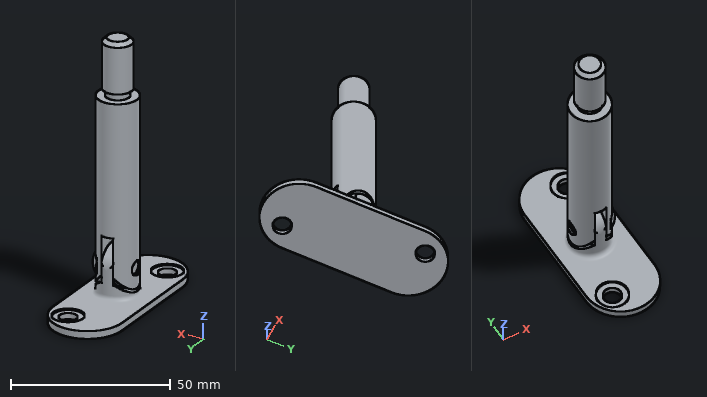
import cadquery as cq
import math

plate_width = 25.0
plate_length = 63.0
plate_thickness = 2.7
screw_hole_diameter = 6.0
screw_recess_diameter = 10.5
screw_recess_depth = 0.55
screw_offset_x = 5.0
screw_offset_y = 22.5

rod_radius = 7.0
root_fillet = 1.9
hinge_height = 13.0
socket_radius = 8.0
tongue_thickness = 4.2
slot_top = 24.6

total_height = 91.0
rod_top = 71.0
neck_top = 73.4
neck_radius = 4.0
stud_radius = 5.0
stud_chamfer = 1.5

pin_diameter = 5.0
pin_radius = pin_diameter / 2
pin_tail_x = -6.0
head_radius = 5.55
head_seat_x = 3.6
head_face_x = 7.5
dome_radius = 6.1
dome_center_x = 2.1


def hinge_cylinder(radius, start_x, end_x):
    """Cylinder on the hinge axis, which runs along X."""
    plane = cq.Plane(origin=(start_x, 0, hinge_height), xDir=(0, 0, -1), normal=(1, 0, 0))
    return cq.Workplane(plane).circle(radius).extrude(end_x - start_x)


def upright_cylinder(radius, bottom, top):
    return cq.Workplane("XY").workplane(offset=bottom).circle(radius).extrude(top - bottom)


def upright_slab(thickness, bottom, top):
    """Slab centred across X and wider along Y than the rod."""
    slab = cq.Workplane("XY").workplane(offset=bottom)
    return slab.rect(thickness, 4 * rod_radius).extrude(top - bottom)


def make_base():
    plate = cq.Workplane("XY").slot2D(plate_length, plate_width, 90).extrude(plate_thickness)
    plate = (
        plate.faces(">Z").workplane(origin=(0, 0, 0))
        .pushPoints([(screw_offset_x, screw_offset_y), (-screw_offset_x, -screw_offset_y)])
        .cboreHole(screw_hole_diameter, screw_recess_diameter, screw_recess_depth)
    )

    fillet_top = plate_thickness + root_fillet
    fillet_middle = (
        rod_radius + root_fillet * (1 - math.sqrt(0.5)),
        plate_thickness + root_fillet * (1 - math.sqrt(0.5)),
    )
    post = (
        cq.Workplane("XZ")
        .moveTo(0, plate_thickness)
        .lineTo(rod_radius + root_fillet, plate_thickness)
        .threePointArc(fillet_middle, (rod_radius, fillet_top))
        .lineTo(rod_radius, hinge_height)
        .lineTo(0, hinge_height)
        .close()
        .revolve(360, (0, 0, 0), (0, 1, 0))
    )
    post = post.cut(hinge_cylinder(socket_radius, tongue_thickness / 2, 2 * rod_radius))
    post = post.cut(hinge_cylinder(socket_radius, -2 * rod_radius, -tongue_thickness / 2))

    tongue_top = hinge_height + rod_radius
    upper_tongue = upright_cylinder(rod_radius, hinge_height, tongue_top)
    upper_tongue = upper_tongue.intersect(upright_slab(tongue_thickness, hinge_height, tongue_top))
    rounding = hinge_cylinder(rod_radius, -tongue_thickness / 2, tongue_thickness / 2)
    upper_tongue = upper_tongue.intersect(rounding)

    base = plate.union(post).union(upper_tongue)
    return base.cut(hinge_cylinder(pin_radius, -rod_radius, rod_radius))


def make_rod():
    shaft = upright_cylinder(rod_radius, hinge_height, rod_top)
    rounded_end = upright_cylinder(rod_radius, hinge_height - rod_radius, hinge_height + rod_radius)
    rounded_end = rounded_end.intersect(hinge_cylinder(rod_radius, -rod_radius, rod_radius))
    rod = shaft.union(rounded_end)
    rod = rod.cut(upright_slab(tongue_thickness, 0, slot_top))

    rod = rod.cut(hinge_cylinder(pin_radius, -2 * rod_radius, 2 * rod_radius))
    rod = rod.cut(hinge_cylinder(head_radius, head_seat_x, 2 * rod_radius))

    neck = upright_cylinder(neck_radius, rod_top, neck_top)
    stud = upright_cylinder(stud_radius, neck_top, total_height).faces(">Z").chamfer(stud_chamfer)
    return rod.union(neck).union(stud)


def make_pin():
    rim_x = dome_center_x + math.sqrt(dome_radius**2 - head_radius**2)
    face_radius = math.sqrt(dome_radius**2 - (head_face_x - dome_center_x) ** 2)
    mid_x = (rim_x + head_face_x) / 2
    mid_radius = math.sqrt(dome_radius**2 - (mid_x - dome_center_x) ** 2)
    return (
        cq.Workplane("XY", origin=(0, 0, hinge_height))
        .moveTo(pin_tail_x, 0)
        .lineTo(pin_tail_x, pin_radius)
        .lineTo(head_seat_x, pin_radius)
        .lineTo(head_seat_x, head_radius)
        .lineTo(rim_x, head_radius)
        .threePointArc((mid_x, mid_radius), (head_face_x, face_radius))
        .lineTo(head_face_x, 0)
        .close()
        .revolve(360, (0, 0, 0), (1, 0, 0))
    )


base = make_base()
rod = make_rod()
pin = make_pin()
result = cq.Compound.makeCompound([base.val(), rod.val(), pin.val()])